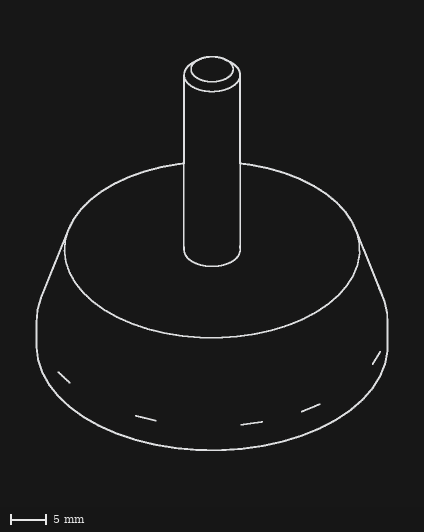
import cadquery as cq

foot_radius = 25.0
rim_height = 4.3
foot_height = 17.0
foot_top_radius = 21.0

stud_radius = 4.0
total_height = 49.0
tip_chamfer = 1.0

half_section = (
    cq.Workplane("XZ")
    .lineTo(foot_radius, 0)
    .lineTo(foot_radius, rim_height)
    .lineTo(foot_top_radius, foot_height)
    .lineTo(stud_radius, foot_height)
    .lineTo(stud_radius, total_height - tip_chamfer)
    .lineTo(stud_radius - tip_chamfer, total_height)
    .lineTo(0, total_height)
    .close()
)

result = half_section.revolve(360, (0, 0, 0), (0, 1, 0))